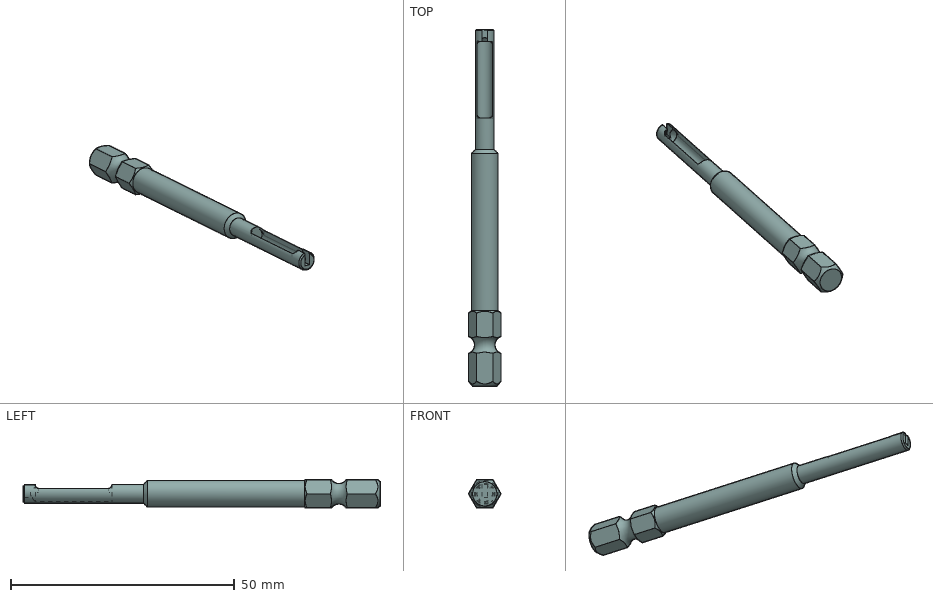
import cadquery as cq
import math

length = 80.0

hex_across_flats = 6.3
hex_corner_radius = hex_across_flats / math.sqrt(3)
hex_end = 17.0
shank_face_radius = 2.7
shank_chamfer_length = 1.1
front_chamfer_length = 0.6

groove_center = 9.3
groove_floor_radius = 2.3
groove_arc_radius = 2.0

body_diameter = 6.0
body_radius = body_diameter / 2
body_end = 53.0
nose_diameter = 4.2
nose_radius = nose_diameter / 2
shoulder_length = body_radius - nose_radius
tip_chamfer = 0.3

bore_diameter = 3.4
bore_radius = bore_diameter / 2
bore_start = 60.2
bore_end = 77.3
bore_cone_length = bore_radius

window_width = bore_diameter
window_corner_radius = 0.7

slot_width = 1.2
slot_floor = -0.9


def revolve_about_y(profile):
    """Turn a closed (radius, Y) profile around the tool axis."""
    return profile.close().revolve(360, (0, 0, 0), (0, 1, 0))


def make_shank():
    prism = (
        cq.Workplane("XZ")
        .polygon(6, 2 * hex_corner_radius)
        .extrude(-hex_end)
    )
    chamfer_envelope = revolve_about_y(
        cq.Workplane("XY")
        .moveTo(0, 0)
        .lineTo(shank_face_radius, 0)
        .lineTo(hex_corner_radius, shank_chamfer_length)
        .lineTo(hex_corner_radius, hex_end - front_chamfer_length)
        .lineTo(body_radius, hex_end)
        .lineTo(0, hex_end)
    )
    groove = revolve_about_y(
        cq.Workplane("XY")
        .moveTo(groove_floor_radius + groove_arc_radius, groove_center - groove_arc_radius)
        .threePointArc(
            (groove_floor_radius, groove_center),
            (groove_floor_radius + groove_arc_radius, groove_center + groove_arc_radius),
        )
    )
    return prism.intersect(chamfer_envelope).cut(groove)


def make_body_and_nose():
    return revolve_about_y(
        cq.Workplane("XY")
        .moveTo(0, hex_end)
        .lineTo(body_radius, hex_end)
        .lineTo(body_radius, body_end - shoulder_length)
        .lineTo(nose_radius, body_end)
        .lineTo(nose_radius, length - tip_chamfer)
        .lineTo(nose_radius - tip_chamfer, length)
        .lineTo(0, length)
    )


def make_bore():
    return revolve_about_y(
        cq.Workplane("XY")
        .moveTo(0, bore_start)
        .lineTo(bore_radius, bore_start)
        .lineTo(bore_radius, bore_end)
        .lineTo(0, bore_end + bore_cone_length)
    )


def make_window():
    window_length = bore_end - bore_start
    return (
        cq.Workplane("XY")
        .center(0, bore_start + window_length / 2)
        .rect(window_width, window_length)
        .extrude(nose_radius)
        .edges("|Z")
        .fillet(window_corner_radius)
    )


def make_tip_slot():
    slot_length = length - bore_end
    return (
        cq.Workplane("XY", origin=(0, 0, slot_floor))
        .center(0, bore_end + slot_length / 2)
        .rect(slot_width, slot_length)
        .extrude(nose_radius - slot_floor)
    )


result = (
    make_shank()
    .union(make_body_and_nose())
    .cut(make_bore())
    .cut(make_window())
    .cut(make_tip_slot())
)